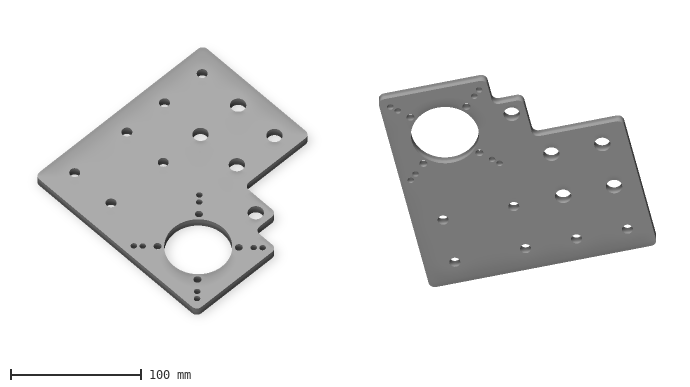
import cadquery as cq

width = 178.0
depth = 178.3
thickness = 8.0
corner_radius = 5.0

upper_step_x = 118.0
upper_step_y = 108.2
lower_step_x = 153.9
lower_step_y = 85.0

hole_pitch = 40.0
small_hole_diameter = 8.4
small_column_x = 19.0
small_row_y = 79.3
small_bottom_row_y = 23.9
large_hole_diameter = 12.5
large_column_x = 59.7
large_row_y = 118.2
single_hole_x = 142.5
single_hole_y = 97.0

motor_x = width - 42.8
motor_y = 43.0
bore_diameter = 52.0
inner_bolt_spacing = 43.9
inner_bolt_diameter = 6.0
middle_bolt_spacing = 60.0
outer_bolt_spacing = 69.5
outer_bolt_diameter = 5.0


def stepped_plate():
    outline = [
        (0, 0),
        (width, 0),
        (width, lower_step_y),
        (lower_step_x, lower_step_y),
        (lower_step_x, upper_step_y),
        (upper_step_x, upper_step_y),
        (upper_step_x, depth),
        (0, depth),
    ]
    plate = cq.Workplane("XY").polyline(outline).close().extrude(thickness)
    return plate.edges("|Z").fillet(corner_radius)


def through_holes(centers, diameter):
    return cq.Workplane("XY").pushPoints(centers).circle(diameter / 2).extrude(thickness)


def motor_bolt_centers(spacing):
    half = spacing / 2
    return [(motor_x + i * half, motor_y + j * half) for i in (-1, 1) for j in (-1, 1)]


small_hole_centers = [
    (small_column_x, small_bottom_row_y),
    (small_column_x + hole_pitch, small_bottom_row_y),
    (small_column_x, small_row_y),
    (small_column_x + hole_pitch, small_row_y),
    (small_column_x, small_row_y + hole_pitch),
    (small_column_x, small_row_y + 2 * hole_pitch),
]

large_hole_centers = [
    (large_column_x + i * hole_pitch, large_row_y + j * hole_pitch)
    for i in range(2)
    for j in range(2)
]
large_hole_centers.append((single_hole_x, single_hole_y))

hole_groups = [
    (small_hole_centers, small_hole_diameter),
    (large_hole_centers, large_hole_diameter),
    ([(motor_x, motor_y)], bore_diameter),
    (motor_bolt_centers(inner_bolt_spacing), inner_bolt_diameter),
    (motor_bolt_centers(middle_bolt_spacing), outer_bolt_diameter),
    (motor_bolt_centers(outer_bolt_spacing), outer_bolt_diameter),
]

result = stepped_plate()
for centers, diameter in hole_groups:
    result = result.cut(through_holes(centers, diameter))